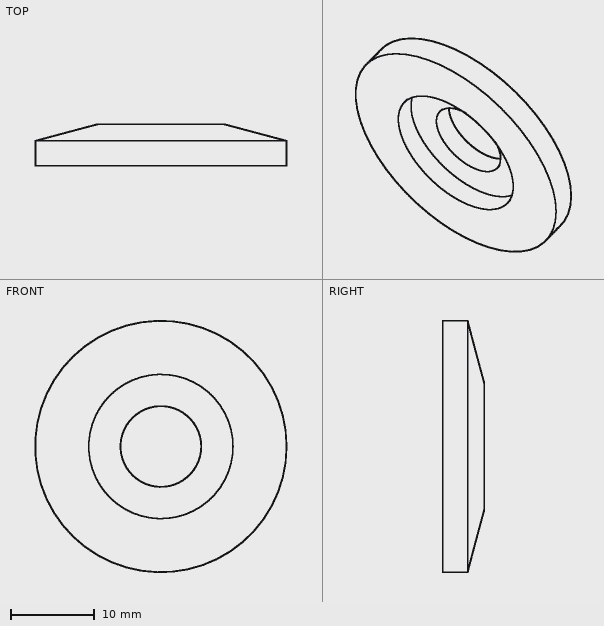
import cadquery as cq

outer_diameter = 30.0
crown_diameter = 15.0
bore_diameter = 9.6
recess_diameter = 17.2
total_thickness = 5.0
rim_thickness = 3.0
recess_depth = 2.5


def washer_body():
    """Revolve the half section: flat face at Y = 0, straight rim, conical back."""
    outer_radius = outer_diameter / 2
    crown_radius = crown_diameter / 2
    half_section = (
        cq.Workplane("XY")
        .moveTo(0, 0)
        .lineTo(outer_radius, 0)
        .lineTo(outer_radius, rim_thickness)
        .lineTo(crown_radius, total_thickness)
        .lineTo(0, total_thickness)
        .close()
    )
    return half_section.revolve(360, (0, 0, 0), (0, 1, 0))


def axial_cylinder(diameter, depth):
    """Cylinder on the washer axis, running from the flat face towards +Y."""
    return cq.Workplane("XZ").circle(diameter / 2).extrude(-depth)


through_bore = axial_cylinder(bore_diameter, total_thickness)
recess = axial_cylinder(recess_diameter, recess_depth)

result = washer_body().cut(through_bore).cut(recess)